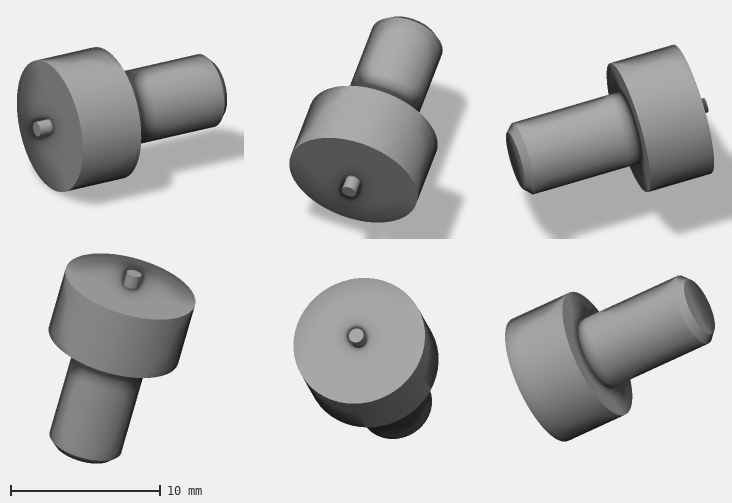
import cadquery as cq

total_length = 13.5
head_diameter = 9.0
head_length = 4.5
shank_diameter = 5.0
shank_chamfer = 0.5
pin_diameter = 1.0
pin_length = 1.0
shank_length = total_length - head_length - pin_length


def cylinder_along_y(diameter, start_y, length):
    """Solid cylinder centred on the Y axis, growing towards +Y."""
    start = cq.Vector(0, start_y, 0)
    direction = cq.Vector(0, 1, 0)
    return cq.Workplane(cq.Solid.makeCylinder(diameter / 2, length, start, direction))


head = cylinder_along_y(head_diameter, 0, head_length)

shank = cylinder_along_y(shank_diameter, head_length, shank_length)
shank = shank.faces(">Y").chamfer(shank_chamfer)

pin = cylinder_along_y(pin_diameter, -pin_length, pin_length)

result = head.union(shank).union(pin)